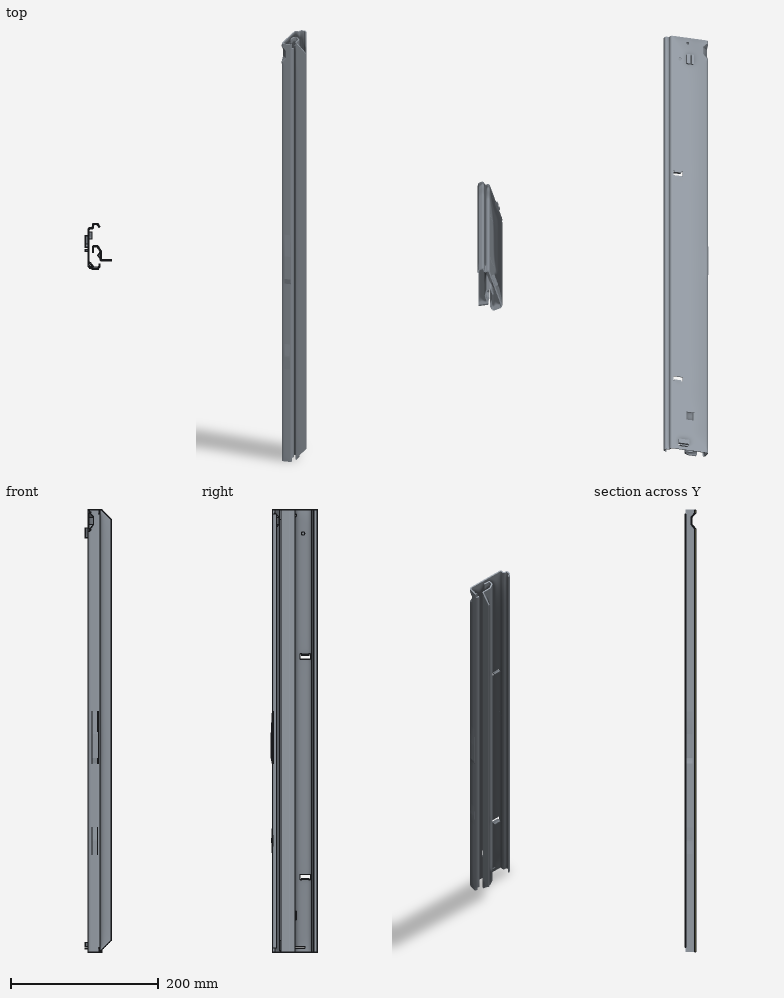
import cadquery as cq
import math


length = 600.0
width = 35.29
depth = 62.55
sheet = 1.8
half_sheet = sheet / 2
half_length = length / 2
inside_radius = 1.0

plate_x = -13.1
plate_outer_x = plate_x - half_sheet
plate_inner_x = plate_x + half_sheet
leg_y = -28.8
leg_outer_y = leg_y - half_sheet
lip_x = 1.7
lip_top_y = -24.0
jog_y = 24.6
hook_x = -7.2
hook_top_y = depth / 2 - half_sheet
hook_bend_x = -1.1
hook_tip = (1.6, 26.2)
corner_radius = 2.6
lip_end_gap = 6.0

drawer_hook_end_y = -8.2
drawer_hook_top_y = 0.3
drawer_bend_x = -1.3
wall_x = 3.3
wall_top_y = -6.5
flange_y = -19.0
flange_end_x = width / 2
flange_chamfer_top = 13.4
flange_chamfer_bottom = 16.2

strip_top_y = -8.0
strip_apex_y = -12.2
strip_bottom_y = -16.3
strip_apex_x = -1.0

bump_x = -8.5
long_bump_width = 8.9
short_bump_width = 7.5
long_bump_rise = depth / 2 + leg_outer_y
short_bump_rise = 0.9
long_bump_z = (26.0, -4.5, -37.0, -44.3)
short_bump_z = (-131.0, -147.5, -149.5, -167.3)

slot_y = (8.0, 21.7)
tab_y = (10.0, 19.8)
slot_height = 6.8
tab_tip_x = -8.3
upper_slot_top = 104.2
lower_slot_bottom = -201.7

lug_tip_x = -width / 2
upper_lug_z = (261.5, 275.0)
upper_lug_y = (-1.5, 3.0)
upper_lug_opening_y = (-4.2, -1.5)
upper_small_lug_y = (-6.6, -4.2)
lower_lug_y = (0.0, 14.5)
lower_lug_z = (-292.5, -286.5)
lower_lug_opening_z = (-294.4, -292.5)
lower_small_lug_y = (1.5, 13.0)
lower_small_lug_z = (-295.9, -294.4)

window_y = (-8.0, 2.6)
window_z = (-256.0, -244.5)
ramp_start_y = -13.6
ramp_depth = 0.6
round_hole_y = 0.9
round_hole_z = 292.0
round_hole_diameter = 4.0
dimple_y = 12.0
dimple_z = 267.5
dimple_diameter = 4.5
dimple_depth = 0.8

dent_z = (270.5, 280.0, 289.5, 298.0)
dent_plate_y = -21.0
dent_leg_x = -6.3


def unit(start, end):
    span = math.dist(start, end)
    return ((end[0] - start[0]) / span, (end[1] - start[1]) / span)


def offset_path(path, distance):
    """Path shifted sideways by a distance, with mitred corners."""
    directions = [unit(a, b) for a, b in zip(path, path[1:])]
    before = [directions[0]] + directions
    after = directions + [directions[-1]]
    shifted = []
    for (x, y), d, e in zip(path, before, after):
        reach = distance / (1 + d[0] * e[0] + d[1] * e[1])
        shifted.append((x - (d[1] + e[1]) * reach, y + (d[0] + e[0]) * reach))
    return shifted


def bent_sheet(path, inner_radii):
    """Full-length sheet along a path, with the inner radius of each bend in path order."""
    left = offset_path(path, half_sheet)
    right = offset_path(path, -half_sheet)
    body = cq.Workplane("XY").workplane(offset=-half_length)
    body = body.polyline(left + right[::-1]).close().extrude(length)
    for index, inner_radius in enumerate(inner_radii, start=1):
        into = unit(path[index - 1], path[index])
        out = unit(path[index], path[index + 1])
        turns_left = into[0] * out[1] - into[1] * out[0] > 0
        inner, outer = (left, right) if turns_left else (right, left)
        for corner, radius in ((inner[index], inner_radius), (outer[index], inner_radius + sheet)):
            edge = cq.selectors.NearestToPointSelector((*corner, 0))
            body = body.edges("|Z").edges(edge).fillet(radius)
    return body


def block(x_range, y_range, z_range):
    ranges = (x_range, y_range, z_range)
    size = [high - low for low, high in ranges]
    low_corner = cq.Vector(*[low for low, _ in ranges])
    return cq.Workplane(cq.Solid.makeBox(*size, low_corner))


def plate_opening(y_range, z_range):
    return block((plate_outer_x, plate_inner_x), y_range, z_range)


def lug(y_range, z_range):
    return block((lug_tip_x, plate_x), y_range, z_range)


def add_bump(rail, z_stations, rise, bump_width):
    """Ramped bump out of the leg, hollow behind by the same shape."""
    start, crest_start, crest_end, end = z_stations
    crest_y = leg_outer_y - rise
    outline = [(leg_outer_y, start), (crest_y, crest_start), (crest_y, crest_end), (leg_outer_y, end)]
    bump = cq.Workplane("YZ", origin=(bump_x, 0, 0)).polyline(outline).close().extrude(bump_width)
    return rail.union(bump).cut(bump.translate((0, sheet, 0)))


def add_tab_slot(rail, slot_bottom, tab_bottom):
    rail = rail.cut(plate_opening(slot_y, (slot_bottom, slot_bottom + slot_height)))
    return rail.union(block((plate_outer_x, tab_tip_x), tab_y, (tab_bottom, tab_bottom + sheet)))


def plate_bore(y, z, diameter, bore_depth):
    start = cq.Workplane("YZ", origin=(plate_outer_x, y, z))
    return start.circle(diameter / 2).extrude(bore_depth)


def window_ramp():
    outline = [
        (plate_outer_x, ramp_start_y),
        (plate_outer_x + ramp_depth, window_y[0]),
        (plate_outer_x, window_y[0]),
    ]
    bottom, top = window_z
    return cq.Workplane("XY").workplane(offset=bottom).polyline(outline).close().extrude(top - bottom)


def add_corner_dent(rail):
    """Press the corner in to a slanted floor with sloping ends, keeping the sheet behind it."""
    apex = (plate_outer_x, leg_outer_y)
    along = unit((plate_outer_x, dent_plate_y), (dent_leg_x, leg_outer_y))
    inward = cq.Vector(-along[1], along[0], 0)
    leg_size = dent_leg_x - plate_outer_x
    plate_size = dent_plate_y - leg_outer_y
    dent_depth = leg_size * plate_size / math.hypot(leg_size, plate_size)

    start, floor_start, floor_end, end = dent_z
    outline = [(0, start), (dent_depth, floor_start), (dent_depth, floor_end), (0, end)]
    section = cq.Plane(origin=(*apex, 0), xDir=inward, normal=cq.Vector(*along, 0))
    hollow = cq.Workplane(section).polyline(outline).close().extrude(leg_size + plate_size, both=True)

    corner = block((plate_outer_x, dent_leg_x), (leg_outer_y, dent_plate_y), (start, end))
    pushed_sheet = hollow.translate(inward * sheet).cut(hollow).intersect(corner)
    return rail.cut(hollow).union(pushed_sheet)


def make_cabinet_rail():
    path = [
        hook_tip,
        (hook_bend_x, hook_top_y),
        (hook_x, hook_top_y),
        (hook_x, jog_y),
        (plate_x, jog_y),
        (plate_x, leg_y),
        (lip_x, leg_y),
        (lip_x, lip_top_y),
    ]
    jog_radius = 1.2
    lip_radius = 1.7
    rail = bent_sheet(
        path,
        [inside_radius, inside_radius, inside_radius, jog_radius, corner_radius, lip_radius],
    )

    lip_y = (leg_outer_y, lip_top_y)
    lip_x_range = (lip_x - half_sheet, lip_x + half_sheet)
    for z_range in ((-half_length, lip_end_gap - half_length), (half_length - lip_end_gap, half_length)):
        rail = rail.cut(block(lip_x_range, lip_y, z_range))

    rail = add_bump(rail, long_bump_z, long_bump_rise, long_bump_width)
    rail = add_bump(rail, short_bump_z, short_bump_rise, short_bump_width)
    rail = add_tab_slot(rail, upper_slot_top - slot_height, upper_slot_top - sheet)
    rail = add_tab_slot(rail, lower_slot_bottom, lower_slot_bottom)

    rail = rail.cut(plate_opening(upper_lug_opening_y, upper_lug_z))
    rail = rail.cut(plate_opening(lower_lug_y, lower_lug_opening_z))
    rail = rail.union(lug(upper_lug_y, upper_lug_z)).union(lug(upper_small_lug_y, upper_lug_z))
    rail = rail.union(lug(lower_lug_y, lower_lug_z)).union(lug(lower_small_lug_y, lower_small_lug_z))

    rail = rail.cut(plate_opening(window_y, window_z)).cut(window_ramp())
    rail = rail.cut(plate_bore(round_hole_y, round_hole_z, round_hole_diameter, sheet))
    rail = rail.cut(plate_bore(dimple_y, dimple_z, dimple_diameter, dimple_depth))
    return add_corner_dent(rail)


def flange_corner(end_z, chamfer):
    """Triangle cut from a flange end; a negative chamfer runs up from the lower end."""
    inner_x = flange_end_x - abs(chamfer)
    points = [(flange_end_x, end_z), (inner_x, end_z), (flange_end_x, end_z - chamfer)]
    start = cq.Workplane("XZ", origin=(0, flange_y + half_sheet, 0))
    return start.polyline(points).close().extrude(sheet)


def make_drawer_rail():
    path = [
        (hook_x, drawer_hook_end_y),
        (hook_x, drawer_hook_top_y),
        (drawer_bend_x, drawer_hook_top_y),
        (wall_x, wall_top_y),
        (wall_x, flange_y),
        (flange_end_x, flange_y),
    ]
    rail = bent_sheet(path, [inside_radius] * (len(path) - 2))
    rail = rail.cut(flange_corner(half_length, flange_chamfer_top))
    return rail.cut(flange_corner(-half_length, -flange_chamfer_bottom))


def make_guide_strip():
    face_x = wall_x - half_sheet
    strip_length = length - 2 * lip_end_gap
    outline = [(face_x, strip_top_y), (strip_apex_x, strip_apex_y), (face_x, strip_bottom_y)]
    return cq.Workplane("XY").polyline(outline).close().extrude(strip_length / 2, both=True)


cabinet_rail = make_cabinet_rail()
drawer_rail = make_drawer_rail()
guide_strip = make_guide_strip()

result = cq.Compound.makeCompound([cabinet_rail.val(), drawer_rail.val(), guide_strip.val()])